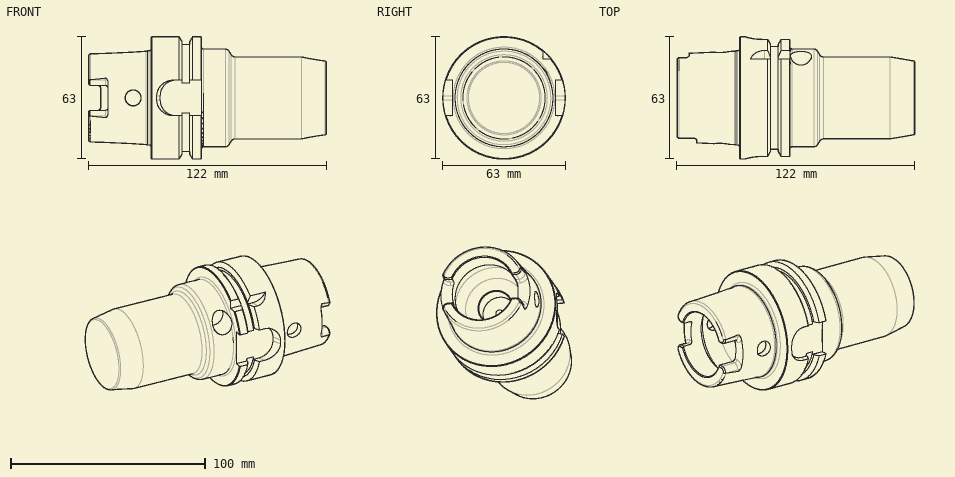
import cadquery as cq
import math

LENGTH = 122.0
FLANGE_RADIUS = 31.5

NOSE_RADIUS = 22.7
NOSE_FILLET = 1.1
TAPER_LENGTH = 29.5
TAPER_END_RADIUS = 24.0
SEAT_START = 30.3
SEAT_RADIUS = 24.3
SEAT_FILLET = 1.1

FLANGE_START = 32.1
FLANGE_END = 58.0
FLANGE_CHAMFER = 0.4
GROOVE_START = 46.5
GROOVE_END = 53.3
GROOVE_RADIUS = 27.6
GROOVE_FLANK_WIDTH = 1.5
GROOVE_FLANK_ANGLE = 60.0

COLLAR_RADIUS = 25.1
COLLAR_ROOT_FILLET = 1.0
COLLAR_END = 71.5
SHOULDER_ANGLE = 60.0
SHOULDER_FILLET = 2.2
SLEEVE_RADIUS = 21.1
SLEEVE_END = 109.3
TIP_RADIUS = 18.9
TIP_FILLET = 0.7

MOUTH_RADIUS = 17.0
MOUTH_CHAMFER = 0.5
MOUTH_LENGTH = 12.6
CLAMP_RADIUS = 20.0
CLAMP_CONE_ANGLE = 45.0
BORE_FLOOR = 30.3
BORE_FLOOR_FILLET = 4.4
THREAD_RADIUS = 9.0
THREAD_CHAMFER = 0.4
THREAD_DEPTH = 9.8
PILOT_RADIUS = 1.8
PILOT_DEPTH = 4.9
PILOT_TIP_ANGLE = 59.0

CROSS_HOLE_RADIUS = 4.0
CROSS_HOLE_X = 22.8

SLOT_HALF_WIDTH = 6.3
SLOT_DEPTH_FRONT = 10.0
SLOT_DEPTH_BACK = 6.1
SLOT_FLOOR_FILLET = 1.5
SLOT_ENTRY_CHAMFER = 0.7
KEY_SIDE_Y = 20.7
KEY_CORNER_RADIUS = 2.9

KEYWAY_FLOOR = 26.5
KEYWAY_HALF_WIDTH = 9.2
KEYWAY_CORNER_RADIUS = 8.0
KEYWAY_START = 36.7
KEYWAY_END_LEAN = 20.0
NOTCH_FLOOR = 20.0

SCREW_X = 63.6
SCREW_Z = 13.3
SCREW_RADIUS = 5.4
SCREW_FLOOR_Y = 12.2

CLEARANCE = 12.2


def circle_edges(body, x, radius):
    """Circular edges about the X axis at the given position and radius."""
    def matches(edge):
        center = edge.Center()
        on_axis = math.hypot(center.y, center.z) < radius + 0.01
        return on_axis and edge.geomType() == "CIRCLE" and abs(center.x - x) < 0.01 \
            and abs(edge.radius() - radius) < 0.01
    return body.newObject([edge for edge in body.edges().vals() if matches(edge)])


def revolve_about_x(points):
    return cq.Workplane("XY").polyline(points).close().revolve(360, (0, 0, 0), (1, 0, 0))


def outer_body():
    flank_drop = GROOVE_FLANK_WIDTH * math.tan(math.radians(GROOVE_FLANK_ANGLE))
    flank_radius = FLANGE_RADIUS - flank_drop
    shoulder_run = (COLLAR_RADIUS - SLEEVE_RADIUS) / math.tan(math.radians(SHOULDER_ANGLE))
    shoulder_end = COLLAR_END + shoulder_run
    chamfered_radius = FLANGE_RADIUS - FLANGE_CHAMFER
    body = revolve_about_x([
        (0, 0),
        (0, NOSE_RADIUS),
        (TAPER_LENGTH, TAPER_END_RADIUS),
        (SEAT_START, SEAT_RADIUS),
        (FLANGE_START, SEAT_RADIUS),
        (FLANGE_START, chamfered_radius),
        (FLANGE_START + FLANGE_CHAMFER, FLANGE_RADIUS),
        (GROOVE_START, FLANGE_RADIUS),
        (GROOVE_START + GROOVE_FLANK_WIDTH, flank_radius),
        (GROOVE_START + GROOVE_FLANK_WIDTH, GROOVE_RADIUS),
        (GROOVE_END - GROOVE_FLANK_WIDTH, GROOVE_RADIUS),
        (GROOVE_END - GROOVE_FLANK_WIDTH, flank_radius),
        (GROOVE_END, FLANGE_RADIUS),
        (FLANGE_END - FLANGE_CHAMFER, FLANGE_RADIUS),
        (FLANGE_END, chamfered_radius),
        (FLANGE_END, COLLAR_RADIUS),
        (COLLAR_END, COLLAR_RADIUS),
        (shoulder_end, SLEEVE_RADIUS),
        (SLEEVE_END, SLEEVE_RADIUS),
        (LENGTH, TIP_RADIUS),
        (LENGTH, 0),
    ])
    rounded_edges = [
        (0, NOSE_RADIUS, NOSE_FILLET),
        (FLANGE_START, SEAT_RADIUS, SEAT_FILLET),
        (FLANGE_END, COLLAR_RADIUS, COLLAR_ROOT_FILLET),
        (COLLAR_END, COLLAR_RADIUS, SHOULDER_FILLET),
        (shoulder_end, SLEEVE_RADIUS, SHOULDER_FILLET),
        (LENGTH, TIP_RADIUS, TIP_FILLET),
    ]
    for x, radius, fillet in rounded_edges:
        body = circle_edges(body, x, radius).fillet(fillet)
    return body


def stepped_bore():
    cone_run = (CLAMP_RADIUS - MOUTH_RADIUS) / math.tan(math.radians(CLAMP_CONE_ANGLE))
    thread_floor = BORE_FLOOR + THREAD_DEPTH
    pilot_floor = thread_floor + PILOT_DEPTH
    pilot_tip = pilot_floor + PILOT_RADIUS / math.tan(math.radians(PILOT_TIP_ANGLE))
    thread_root_radius = THREAD_RADIUS - THREAD_CHAMFER
    bore = revolve_about_x([
        (0, 0),
        (0, MOUTH_RADIUS + MOUTH_CHAMFER),
        (MOUTH_CHAMFER, MOUTH_RADIUS),
        (MOUTH_LENGTH, MOUTH_RADIUS),
        (MOUTH_LENGTH + cone_run, CLAMP_RADIUS),
        (BORE_FLOOR, CLAMP_RADIUS),
        (BORE_FLOOR, THREAD_RADIUS),
        (BORE_FLOOR + THREAD_CHAMFER, thread_root_radius),
        (thread_floor, thread_root_radius),
        (thread_floor, PILOT_RADIUS),
        (pilot_floor, PILOT_RADIUS),
        (pilot_tip, 0),
    ])
    return circle_edges(bore, BORE_FLOOR, CLAMP_RADIUS).fillet(BORE_FLOOR_FILLET)


def cross_hole():
    """Plain hole along Y through both walls of the shank."""
    return (
        cq.Workplane("XZ")
        .center(CROSS_HOLE_X, 0)
        .circle(CROSS_HOLE_RADIUS)
        .extrude(FLANGE_RADIUS, both=True)
    )


def slot_section(x, growth):
    """Closed outline of the +Y drive slot at a given X, with its walls moved outward by growth."""
    half_width = SLOT_HALF_WIDTH + growth
    side_y = KEY_SIDE_Y - growth
    radius = KEY_CORNER_RADIUS - growth
    bend = radius * math.sqrt(0.5)
    arc_center_y = side_y - radius
    arc_center_z = half_width + radius
    far_y = FLANGE_RADIUS
    far_z = KEY_SIDE_Y
    return (
        cq.Workplane("YZ", origin=(x, 0, 0))
        .moveTo(0, -half_width)
        .lineTo(arc_center_y, -half_width)
        .threePointArc((arc_center_y + bend, bend - arc_center_z), (side_y, -arc_center_z))
        .lineTo(side_y, -far_z)
        .lineTo(far_y, -far_z)
        .lineTo(far_y, far_z)
        .lineTo(side_y, far_z)
        .lineTo(side_y, arc_center_z)
        .threePointArc((arc_center_y + bend, arc_center_z - bend), (arc_center_y, half_width))
        .lineTo(0, half_width)
        .close()
    )


def drive_slot(depth):
    """Drive slot on the +Y side with a rounded floor and a chamfered entry."""
    slot = slot_section(0, 0).extrude(depth)
    slot = slot.faces(">X").edges("not(<Y or >Y or <Z or >Z)").fillet(SLOT_FLOOR_FILLET)
    mouth = slot_section(0, SLOT_ENTRY_CHAMFER).wire().val()
    throat = slot_section(SLOT_ENTRY_CHAMFER, 0).wire().val()
    entry = cq.Solid.makeLoft([mouth, throat], True)
    return slot.union(cq.Workplane(entry))


def end_rounded_profile(x_start, z_low, z_high, radius, y):
    """Rectangle in a plane of constant Y with two rounded corners at its -X end."""
    x_far = FLANGE_END
    bend = radius * (1 - math.sqrt(0.5))
    return (
        cq.Workplane("XZ", origin=(0, y, 0))
        .moveTo(x_far, z_low)
        .lineTo(x_start + radius, z_low)
        .threePointArc((x_start + bend, z_low + bend), (x_start, z_low + radius))
        .lineTo(x_start, z_high - radius)
        .threePointArc((x_start + bend, z_high - bend), (x_start + radius, z_high))
        .lineTo(x_far, z_high)
        .close()
    )


def keyway():
    """Keyway on the -Y side; its rounded end leans toward -X on the way out."""
    height = CLEARANCE
    lean = height * math.tan(math.radians(KEYWAY_END_LEAN))
    profile = end_rounded_profile(
        KEYWAY_START, -KEYWAY_HALF_WIDTH, KEYWAY_HALF_WIDTH, KEYWAY_CORNER_RADIUS, -KEYWAY_FLOOR
    )
    leaning = cq.Solid.extrudeLinear(profile.wire().val(), [], cq.Vector(-lean, -height, 0))
    straight = (
        cq.Workplane("XY")
        .box(FLANGE_END - GROOVE_START, height, 2 * KEYWAY_HALF_WIDTH, centered=(False, False, True))
        .translate((GROOVE_START, -KEYWAY_FLOOR - height, 0))
    )
    return straight.union(cq.Workplane(leaning))


def orientation_notch():
    return end_rounded_profile(
        KEYWAY_START, NOTCH_FLOOR, NOTCH_FLOOR + 2 * KEYWAY_HALF_WIDTH, KEYWAY_CORNER_RADIUS, NOTCH_FLOOR
    ).extrude(-CLEARANCE)


def screw_hole():
    return (
        cq.Workplane("XZ", origin=(SCREW_X, SCREW_FLOOR_Y, SCREW_Z))
        .circle(SCREW_RADIUS)
        .extrude(SCREW_FLOOR_Y - FLANGE_RADIUS)
    )


result = (
    outer_body()
    .cut(stepped_bore())
    .cut(cross_hole())
    .cut(drive_slot(SLOT_DEPTH_BACK))
    .cut(drive_slot(SLOT_DEPTH_FRONT).rotate((0, 0, 0), (1, 0, 0), 180))
    .cut(keyway())
    .cut(keyway().rotate((0, 0, 0), (1, 0, 0), 180))
    .cut(orientation_notch())
    .cut(screw_hole())
)